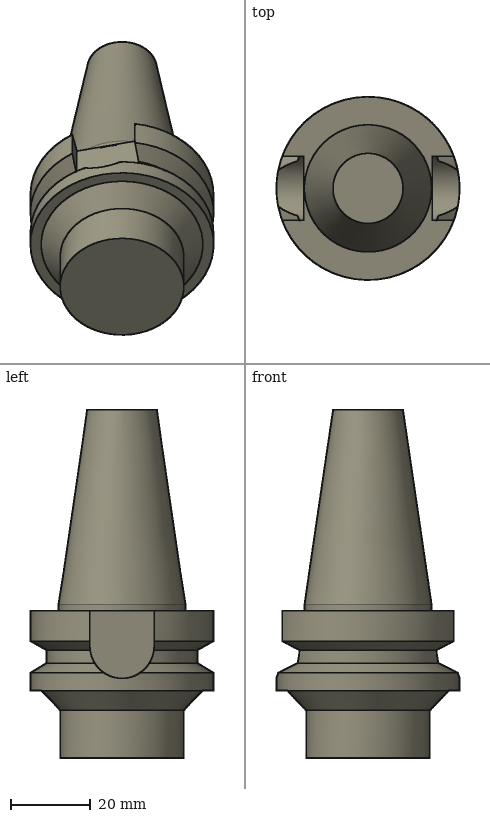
import cadquery as cq

total_height = 87.4
nose_top = 12.0
flange_bottom = 16.95
flange_top = 37.0
collar_top = 38.6

groove_lower_edge = 21.4
groove_floor_bottom = 23.9
groove_floor_top = 27.1
groove_upper_edge = 29.4

nose_diameter = 31.0
cone_top_diameter = 40.55
flange_diameter = 46.0
groove_diameter = 37.9
collar_diameter = 31.9
shank_tip_diameter = 17.6

slot_width = 16.1
slot_floor_distance = 16.1
slot_bottom = 20.0


def make_body():
    """Revolve the half profile of nose, flange, collar and tapered shank."""
    profile = [
        (0, 0),
        (nose_diameter / 2, 0),
        (nose_diameter / 2, nose_top),
        (cone_top_diameter / 2, flange_bottom),
        (flange_diameter / 2, flange_bottom),
        (flange_diameter / 2, groove_lower_edge),
        (groove_diameter / 2, groove_floor_bottom),
        (groove_diameter / 2, groove_floor_top),
        (flange_diameter / 2, groove_upper_edge),
        (flange_diameter / 2, flange_top),
        (collar_diameter / 2, flange_top),
        (collar_diameter / 2, collar_top),
        (shank_tip_diameter / 2, total_height),
        (0, total_height),
    ]
    return cq.Workplane("XZ").polyline(profile).close().revolve(360, (0, 0), (0, 1))


def make_slot_cutter():
    """Round-bottomed slot, open at the flange top and outward along +X."""
    radius = slot_width / 2
    arc_center = slot_bottom + radius
    return (
        cq.Workplane("YZ", origin=(slot_floor_distance, 0, 0))
        .moveTo(-radius, flange_top)
        .lineTo(-radius, arc_center)
        .threePointArc((0, slot_bottom), (radius, arc_center))
        .lineTo(radius, flange_top)
        .close()
        .extrude(flange_diameter / 2)
    )


result = make_body()
slot_cutter = make_slot_cutter()
for angle in (0, 180):
    result = result.cut(slot_cutter.rotate((0, 0, 0), (0, 0, 1), angle))